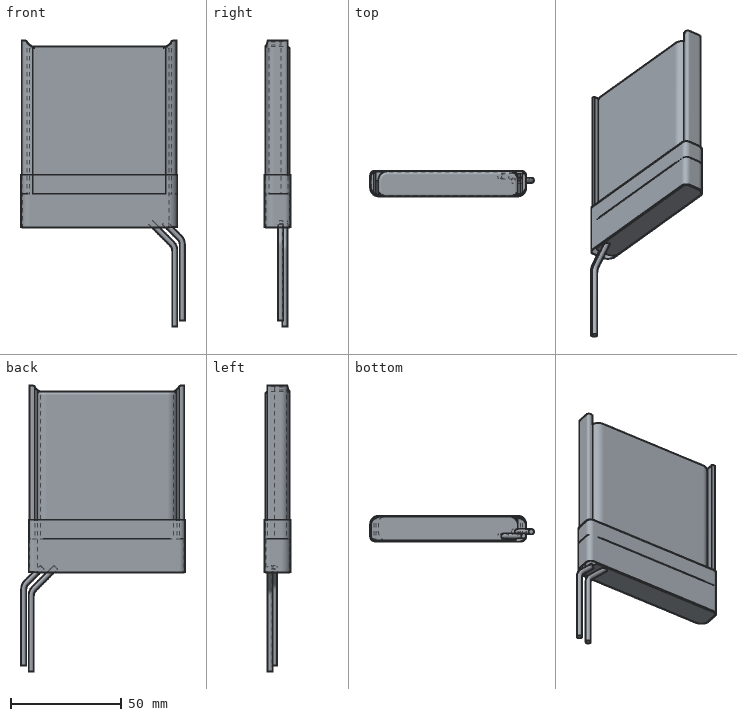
import cadquery as cq
import math

SLEEVE_BOTTOM = 45.1
SLEEVE_TOP = 68.8
MODULE_BOTTOM = 44.9
CELL_BOTTOM = 60.3
CELL_TOP = 127.0
RAIL_TOP = 129.7

SLEEVE_WIDTH = 70.8
SLEEVE_DEPTH = 11.8
SLEEVE_WALL = 0.3
SLEEVE_FRONT_RADIUS = 4.2
SLEEVE_BACK_RADIUS = 2.5

INNER_HALF_WIDTH = SLEEVE_WIDTH / 2 - SLEEVE_WALL
INNER_HALF_DEPTH = SLEEVE_DEPTH / 2 - SLEEVE_WALL
MODULE_RIGHT_END = 31.5
MODULE_GAP = 0.3

RAIL_WALL = 2.5
RAIL_BACK = 4.7
RAIL_BACK_RADIUS = 1.3
RAIL_FLAT_FRONT = -1.7
RAIL_FRONT_RADIUS = 3.0
RAIL_ROUND_WIDTH = 2.1
RAIL_RIM_CHAMFER_WIDTH = 0.9
RAIL_RIM_CHAMFER_HEIGHT = 0.4
RAIL_SCOOP_START = CELL_TOP + 2.2
RAIL_SCOOP_SAG = 0.4

CELL_HALF_WIDTH = 31.7
CELL_FACE_HALF_WIDTH = 30.1
CELL_BACK_RADIUS = 4.3
CELL_BEVEL_START = -3.9
CELL_TOP_FILLET = 1.5
CELL_FRONT_FILLET = 0.8

WIRE_DIAMETER = 2.5
WIRE_BEND_RADIUS = 4.4
WIRE_SLOPE = math.radians(45)
WIRE_INNER_END = 47.4
WIRES = [
    (34.2, 3.4, 0.0, 34.5),
    (37.69, 1.4, 2.7, 37.2),
]

RAIL_INNER_X = -INNER_HALF_WIDTH + RAIL_WALL
RAIL_TILT = math.asin(1 - RAIL_ROUND_WIDTH / RAIL_FRONT_RADIUS)
RAIL_ROUND_END_X = -INNER_HALF_WIDTH + RAIL_ROUND_WIDTH
RAIL_ROUND_END_Y = RAIL_FLAT_FRONT - RAIL_FRONT_RADIUS * math.cos(RAIL_TILT)
RAIL_LIP_Y = RAIL_ROUND_END_Y - (-CELL_FACE_HALF_WIDTH - RAIL_ROUND_END_X) * math.tan(RAIL_TILT)


def pack_prism(left, right, half_depth, inset, bottom, top):
    """Sleeve-shaped prism whose corner rounds are the sleeve's, less the inset."""
    block = (
        cq.Workplane("XY", origin=(0, 0, bottom))
        .center((left + right) / 2, 0)
        .rect(right - left, 2 * half_depth)
        .extrude(top - bottom)
    )
    block = block.edges("|Z and <Y").fillet(SLEEVE_FRONT_RADIUS - inset)
    return block.edges("|Z and >Y").fillet(SLEEVE_BACK_RADIUS - inset)


def make_sleeve():
    """Tube of constant wall, open at both ends."""
    half_width = SLEEVE_WIDTH / 2
    outside = pack_prism(-half_width, half_width, SLEEVE_DEPTH / 2, 0, SLEEVE_BOTTOM, SLEEVE_TOP)
    inside = pack_prism(
        -INNER_HALF_WIDTH, INNER_HALF_WIDTH, INNER_HALF_DEPTH, SLEEVE_WALL, SLEEVE_BOTTOM, SLEEVE_TOP
    )
    return outside.cut(inside)


def make_module(wires):
    """Block below the cell, clear of the sleeve, with a matching hole for each wire."""
    module = pack_prism(
        -INNER_HALF_WIDTH + MODULE_GAP,
        MODULE_RIGHT_END,
        INNER_HALF_DEPTH - MODULE_GAP,
        SLEEVE_WALL + MODULE_GAP,
        MODULE_BOTTOM,
        CELL_BOTTOM,
    )
    for wire in wires:
        module = module.cut(wire)
    return module


def make_cell():
    """Block with rounded back corners and bevelled front corners."""
    front = -INNER_HALF_DEPTH
    back = INNER_HALF_DEPTH
    panel_half_width = CELL_FACE_HALF_WIDTH - CELL_FRONT_FILLET
    cell = (
        cq.Workplane("XY", origin=(0, 0, CELL_BOTTOM))
        .moveTo(-CELL_HALF_WIDTH, back)
        .lineTo(-CELL_HALF_WIDTH, CELL_BEVEL_START)
        .lineTo(-CELL_FACE_HALF_WIDTH, RAIL_LIP_Y)
        .lineTo(-panel_half_width, front)
        .lineTo(panel_half_width, front)
        .lineTo(CELL_FACE_HALF_WIDTH, RAIL_LIP_Y)
        .lineTo(CELL_HALF_WIDTH, CELL_BEVEL_START)
        .lineTo(CELL_HALF_WIDTH, back)
        .close()
        .extrude(CELL_TOP - CELL_BOTTOM)
    )
    cell = cell.edges("|Z and >Y").fillet(CELL_BACK_RADIUS)
    cell = cell.faces(">Z").edges(">Y").fillet(CELL_TOP_FILLET)
    return cell.faces(">Z").edges("<Y").fillet(CELL_FRONT_FILLET)


def rail_scoop():
    """Cutter above the hollow that descends from the rail rim to the cell top."""
    rim_x = RAIL_INNER_X - RAIL_RIM_CHAMFER_WIDTH
    rim_z = RAIL_TOP - RAIL_RIM_CHAMFER_HEIGHT
    toe_x = -CELL_FACE_HALF_WIDTH
    return (
        cq.Workplane("XZ")
        .moveTo(rim_x, RAIL_TOP)
        .lineTo(RAIL_INNER_X, rim_z)
        .lineTo(RAIL_INNER_X, RAIL_SCOOP_START)
        .sagittaArc((toe_x, CELL_TOP), -RAIL_SCOOP_SAG)
        .lineTo(toe_x, RAIL_TOP)
        .close()
        .extrude(SLEEVE_DEPTH, both=True)
    )


def make_left_rail():
    """Side wall that thickens toward the front to grip the bevelled cell corner."""
    round_middle = (math.pi / 2 - RAIL_TILT) / 2
    round_center_x = -INNER_HALF_WIDTH + RAIL_FRONT_RADIUS
    round_middle_point = (
        round_center_x - RAIL_FRONT_RADIUS * math.cos(round_middle),
        RAIL_FLAT_FRONT - RAIL_FRONT_RADIUS * math.sin(round_middle),
    )
    straight_side_end = INNER_HALF_DEPTH - CELL_BACK_RADIUS
    rail = (
        cq.Workplane("XY", origin=(0, 0, CELL_BOTTOM))
        .moveTo(RAIL_INNER_X, RAIL_BACK)
        .lineTo(-INNER_HALF_WIDTH + RAIL_BACK_RADIUS, RAIL_BACK)
        .radiusArc((-INNER_HALF_WIDTH, RAIL_BACK - RAIL_BACK_RADIUS), -RAIL_BACK_RADIUS)
        .lineTo(-INNER_HALF_WIDTH, RAIL_FLAT_FRONT)
        .threePointArc(round_middle_point, (RAIL_ROUND_END_X, RAIL_ROUND_END_Y))
        .lineTo(-CELL_FACE_HALF_WIDTH, RAIL_LIP_Y)
        .lineTo(-CELL_HALF_WIDTH, CELL_BEVEL_START)
        .lineTo(-CELL_HALF_WIDTH, straight_side_end)
        .lineTo(RAIL_INNER_X, straight_side_end)
        .close()
        .extrude(RAIL_TOP - CELL_BOTTOM)
    )
    return rail.cut(rail_scoop())


def make_wire(drop_x, y, bottom, bend_start):
    """Round bar swept along a vertical drop, a bend and a slope toward -X."""
    bend_center_x = drop_x - WIRE_BEND_RADIUS

    def bend_point(angle):
        return (
            bend_center_x + WIRE_BEND_RADIUS * math.cos(angle),
            bend_start + WIRE_BEND_RADIUS * math.sin(angle),
        )

    bend_end = bend_point(WIRE_SLOPE)
    slope_rise = WIRE_INNER_END - bend_end[1]
    inner_end = (bend_end[0] - slope_rise / math.tan(WIRE_SLOPE), WIRE_INNER_END)
    path = (
        cq.Workplane("XZ", origin=(0, y, 0))
        .moveTo(drop_x, bottom)
        .lineTo(drop_x, bend_start)
        .threePointArc(bend_point(WIRE_SLOPE / 2), bend_end)
        .lineTo(*inner_end)
    )
    section = cq.Workplane("XY", origin=(drop_x, y, bottom)).circle(WIRE_DIAMETER / 2)
    return section.sweep(path)


wires = [make_wire(*placement) for placement in WIRES]
sleeve = make_sleeve()
module = make_module(wires)
cell = make_cell()
left_rail = make_left_rail()
rails = [left_rail, left_rail.mirror("YZ")]

result = cq.Compound.makeCompound(
    [sleeve.val(), module.val(), cell.val()]
    + [rail.val() for rail in rails]
    + [wire.val() for wire in wires]
)